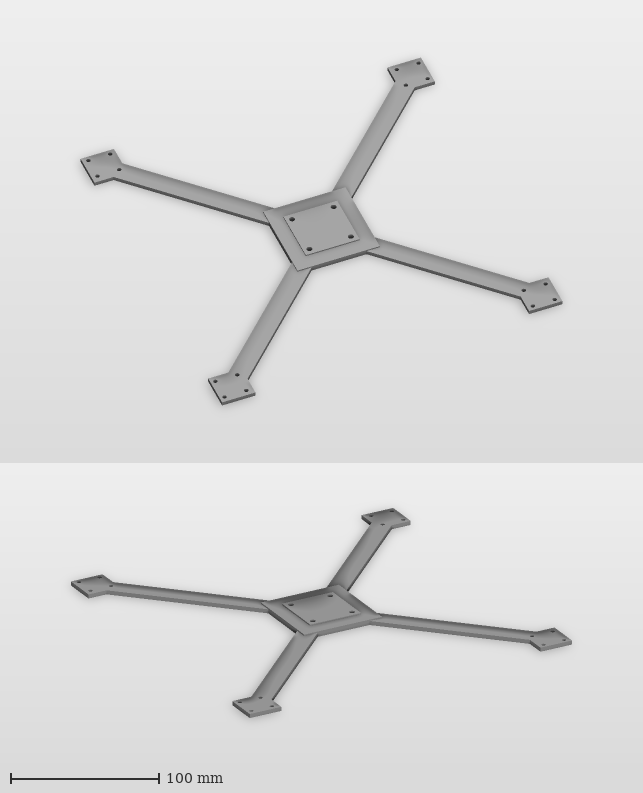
import cadquery as cq

span = 248.8
arm_thickness = 3.0
plate_step = 1.0
pad_step = 1.0
hub_height = arm_thickness + plate_step

hub_side = 60.2
pad_side = 39.3
hub_hole_spacing = 30.3
hub_hole_diameter = 4.0

arm_width = 14.2
arm_shift = 0.2
tab_side = 24.5
tab_hole_spacing = 16.0
tab_hole_diameter = 3.0
tab_hole_shift = 0.7
tab_centre = (span - tab_side) / 2
arm_length = tab_centre * 2 ** 0.5

arm_count = 4
arm_step = 360 / arm_count
first_arm_angle = 45


def square_plate(side, height):
    """Square plate centred on the Z axis and standing on the base plane."""
    return cq.Workplane("XY").box(side, side, height, centered=(True, True, False))


def square_hole_pattern(spacing, diameter, depth):
    """Four upright pins, one at each corner of a square."""
    return (
        cq.Workplane("XY")
        .rect(spacing, spacing, forConstruction=True)
        .vertices()
        .circle(diameter / 2)
        .extrude(depth)
    )


def make_arm():
    """Diagonal arm towards +X +Y, ending in a drilled square tab."""
    bar = (
        cq.Workplane("XY")
        .box(arm_length, arm_width, arm_thickness, centered=(False, True, False))
        .translate((0, arm_shift, 0))
        .rotate((0, 0, 0), (0, 0, 1), first_arm_angle)
    )
    tab = square_plate(tab_side, arm_thickness).translate((tab_centre, tab_centre, 0))
    holes = square_hole_pattern(tab_hole_spacing, tab_hole_diameter, arm_thickness)
    holes = holes.translate((tab_centre + tab_hole_shift, tab_centre, 0))
    return bar.union(tab).cut(holes)


def make_hub():
    """Square hub with a smaller raised pad on top."""
    pad = square_plate(pad_side, hub_height + pad_step)
    return square_plate(hub_side, hub_height).union(pad)


frame = make_hub()
arm = make_arm()
for index in range(arm_count):
    frame = frame.union(arm.rotate((0, 0, 0), (0, 0, 1), index * arm_step))

hub_holes = square_hole_pattern(hub_hole_spacing, hub_hole_diameter, hub_height + pad_step)
result = frame.cut(hub_holes)